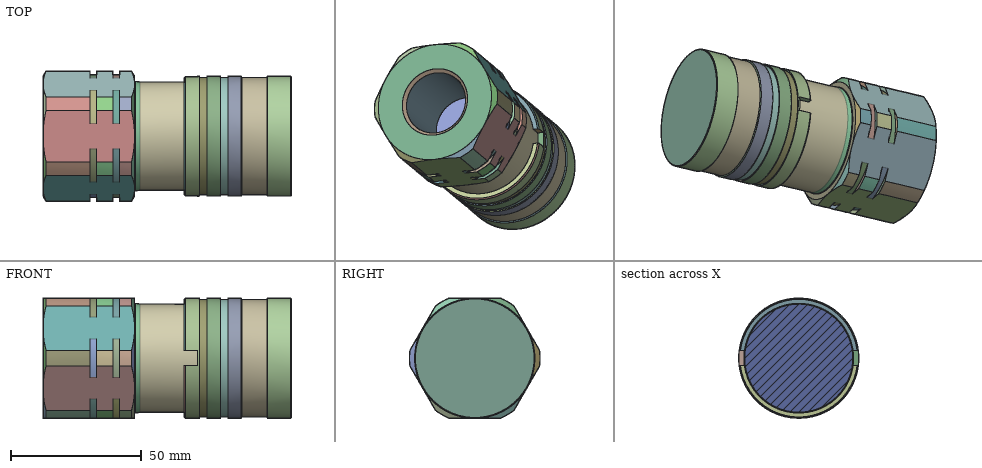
import cadquery as cq
import math

NUT_LENGTH = 35.0
NUT_ACROSS_FLATS = 46.0
NUT_CORNER_RADIUS = 25.0
NUT_FACE_RADIUS = NUT_ACROSS_FLATS / 2
NUT_BEVEL_ANGLE = 30.0
NUT_GROOVE_RADIUS = 23.5
NUT_GROOVE_WIDTH = 2.5
NUT_GROOVE_STARTS = (18.0, 26.75)

BORE_RADIUS = 12.0
BORE_DEPTH = NUT_LENGTH
BORE_CHAMFER = 1.25

NECK_RADIUS = 20.75
COLLAR_RADIUS = 21.0
COLLAR_START = 35.35
COLLAR_END = 37.15

TOTAL_LENGTH = 95.0
SLEEVE_START = 54.0
SLEEVE_RADIUS = 23.0
SLEEVE_FRONT_CHAMFER = 0.5
SLEEVE_EDGE_CHAMFER = 0.3
SLEEVE_GROOVE_RADIUS = 22.5
NARROW_GROOVES = ((59.75, 62.65), (67.85, 70.75))
WIDE_GROOVE = (75.75, 85.85)

NOTCH_WIDTH = 5.75
NOTCH_LENGTH = 5.1


def cylinder(radius, start, end):
    """Solid cylinder on the X axis between two stations."""
    return cq.Workplane("YZ").workplane(offset=start).circle(radius).extrude(end - start)


def ring(inner_radius, outer_radius, start, end):
    """Hollow cylinder on the X axis between two stations."""
    return cylinder(outer_radius, start, end).cut(cylinder(inner_radius, start, end))


def revolve_profile(points):
    """Revolve a closed outline of (x, radius) points about the X axis."""
    return cq.Workplane("XY").polyline(points).close().revolve(360, (0, 0, 0), (1, 0, 0))


def make_nut():
    """Hexagon with flats facing +Z and -Z, rounded corners and bevelled ends."""
    hexagon_diameter = NUT_ACROSS_FLATS / math.cos(math.pi / 6)
    hexagon = cq.Workplane("YZ").polygon(6, hexagon_diameter).extrude(NUT_LENGTH)

    bevel_length = (NUT_CORNER_RADIUS - NUT_FACE_RADIUS) * math.tan(math.radians(NUT_BEVEL_ANGLE))
    envelope = revolve_profile([
        (0, 0),
        (0, NUT_FACE_RADIUS),
        (bevel_length, NUT_CORNER_RADIUS),
        (NUT_LENGTH - bevel_length, NUT_CORNER_RADIUS),
        (NUT_LENGTH, NUT_FACE_RADIUS),
        (NUT_LENGTH, 0),
    ])
    nut = hexagon.intersect(envelope)

    for start in NUT_GROOVE_STARTS:
        nut = nut.cut(ring(NUT_GROOVE_RADIUS, hexagon_diameter, start, start + NUT_GROOVE_WIDTH))
    return nut


def make_neck():
    """Neck with a collar that tapers down away from a narrow relief behind the nut."""
    return revolve_profile([
        (NUT_LENGTH, 0),
        (NUT_LENGTH, NECK_RADIUS),
        (COLLAR_START, NECK_RADIUS),
        (COLLAR_START, COLLAR_RADIUS),
        (COLLAR_END, NECK_RADIUS),
        (SLEEVE_START, NECK_RADIUS),
        (SLEEVE_START, 0),
    ])


def make_sleeve():
    """Sleeve with two narrow grooves, one wide bevelled groove and two notches."""
    wide_start, wide_end = WIDE_GROOVE
    sleeve = revolve_profile([
        (SLEEVE_START, 0),
        (SLEEVE_START, SLEEVE_RADIUS - SLEEVE_FRONT_CHAMFER),
        (SLEEVE_START + SLEEVE_FRONT_CHAMFER, SLEEVE_RADIUS),
        (wide_start, SLEEVE_RADIUS),
        (wide_start + SLEEVE_EDGE_CHAMFER, SLEEVE_GROOVE_RADIUS),
        (wide_end - SLEEVE_EDGE_CHAMFER, SLEEVE_GROOVE_RADIUS),
        (wide_end, SLEEVE_RADIUS),
        (TOTAL_LENGTH - SLEEVE_EDGE_CHAMFER, SLEEVE_RADIUS),
        (TOTAL_LENGTH, SLEEVE_RADIUS - SLEEVE_EDGE_CHAMFER),
        (TOTAL_LENGTH, 0),
    ])
    for start, end in NARROW_GROOVES:
        sleeve = sleeve.cut(ring(SLEEVE_GROOVE_RADIUS, NUT_CORNER_RADIUS, start, end))

    notch_end = SLEEVE_START + NOTCH_LENGTH
    slot = cq.Workplane("XY").box(
        NOTCH_LENGTH, 2 * NUT_CORNER_RADIUS, NOTCH_WIDTH, centered=(False, True, True)
    ).translate((SLEEVE_START, 0, 0))
    notches = slot.cut(cylinder(NECK_RADIUS, SLEEVE_START, notch_end))
    return sleeve.cut(notches)


def make_bore():
    """Flat-bottomed bore with a chamfered mouth."""
    return revolve_profile([
        (0, 0),
        (0, BORE_RADIUS + BORE_CHAMFER),
        (BORE_CHAMFER, BORE_RADIUS),
        (BORE_DEPTH, BORE_RADIUS),
        (BORE_DEPTH, 0),
    ])


result = make_nut().union(make_neck()).union(make_sleeve()).cut(make_bore())